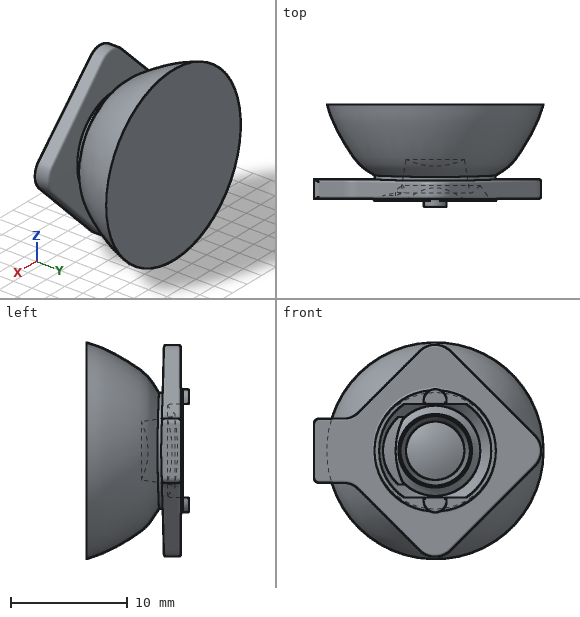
import cadquery as cq
import math


RIM_RADIUS = 9.3
RIM_Y = 8.1
LIP_RADIUS = 3.15
LIP_Y = 0.51
LENS_PROFILE = [(8.59, 6.23), (7.53, 4.33), (6.46, 2.92), (5.2, 2.0)]
CAVITY_MOUTH_RADIUS = 2.97
CAVITY_FLOOR_RADIUS = 2.5
CAVITY_DEPTH = 2.88
DOME_HEIGHT = 0.6

PLATE_THICKNESS = 1.7
PLATE_EDGE_THICKNESS = 1.45
SIDE_DISTANCE = 6.97
CORNER_RADIUS = 1.9
EDGE_FILLET = 0.22
TAB_END_X = -10.4
TAB_HALF_WIDTH = 2.75
TAB_ROOT_RADIUS = 1.73
TAB_CORNER_RADIUS = 0.47

COLLAR_RADIUS_X = 5.18
COLLAR_RADIUS_Z = 4.98
COLLAR_END_Y = 2.05
RING_RADIUS = 5.2
RING_HEIGHT = 0.2

POCKET_RADIUS = 4.8
POCKET_FLOOR_RADIUS = 3.86
POCKET_FLOOR_Y = 1.15
POCKET_HALF_HEIGHT = 4.0

HUMP_TOP_Y = 0.28
HUMP_CROWN_RADIUS = 15.76
HUMP_HALF_LENGTH = 2.88
HUMP_INNER_X = -3.39
HUMP_INNER_RADIUS = 6.3

PIN_RADIUS = 0.98
PIN_HEIGHT = 0.7
PIN_ROUND_Z = 4.3
PIN_FILLET = 0.15


def around_y(profile):
    """Revolve an XY profile a full turn about the Y axis."""
    return profile.close().revolve(360, (0, 0, 0), (0, 1, 0))


def along_y(start_y):
    """XZ sketch plane at start_y whose extrusions run toward +Y (local y is -Z)."""
    return cq.Workplane(cq.Plane((0, start_y, 0), (1, 0, 0), (0, 1, 0)))


def make_lens_body():
    profile = (
        cq.Workplane("XY")
        .moveTo(0, RIM_Y)
        .lineTo(RIM_RADIUS, RIM_Y)
        .spline([*LENS_PROFILE, (LIP_RADIUS, LIP_Y)], includeCurrent=True)
        .lineTo(0, LIP_Y)
    )
    return around_y(profile)


def make_cavity():
    """Tapered recess in the lens tip whose floor is a convex dome."""
    floor_y = LIP_Y + CAVITY_DEPTH
    dome_radius = (CAVITY_FLOOR_RADIUS**2 + DOME_HEIGHT**2) / (2 * DOME_HEIGHT)
    dome_center_y = floor_y - DOME_HEIGHT + dome_radius
    cone = around_y(
        cq.Workplane("XY")
        .moveTo(0, LIP_Y)
        .lineTo(CAVITY_MOUTH_RADIUS, LIP_Y)
        .lineTo(CAVITY_FLOOR_RADIUS, floor_y)
        .lineTo(0, floor_y)
    )
    return cone.cut(cq.Workplane("XY").sphere(dome_radius).translate((0, dome_center_y, 0)))


def make_tab_corner(side):
    """Waste outside the rounded corner of the tab end on one Z side."""
    center_x = TAB_END_X + TAB_CORNER_RADIUS
    center_z = side * (TAB_HALF_WIDTH - TAB_CORNER_RADIUS)
    waste_size = 2 * TAB_CORNER_RADIUS
    waste = (
        along_y(0)
        .center(center_x - waste_size / 2, -center_z - side * waste_size / 2)
        .rect(waste_size, waste_size)
        .extrude(PLATE_THICKNESS)
    )
    post = along_y(0).center(center_x, -center_z).circle(TAB_CORNER_RADIUS).extrude(PLATE_THICKNESS)
    return waste.cut(post)


def make_plate():
    half_diagonal = SIDE_DISTANCE * math.sqrt(2)
    corner_tip = half_diagonal - CORNER_RADIUS * (math.sqrt(2) - 1)
    square = (
        along_y(0)
        .rect(2 * SIDE_DISTANCE, 2 * SIDE_DISTANCE)
        .extrude(PLATE_THICKNESS)
        .edges("|Y")
        .fillet(CORNER_RADIUS)
        .rotate((0, 0, 0), (0, 1, 0), 45)
    )
    tab = (
        along_y(0)
        .center(TAB_END_X / 2, 0)
        .rect(-TAB_END_X, 2 * TAB_HALF_WIDTH)
        .extrude(PLATE_THICKNESS)
    )
    root_x = TAB_HALF_WIDTH - half_diagonal
    margin = EDGE_FILLET
    roots = cq.selectors.BoxSelector(
        (root_x - margin, -margin, -TAB_HALF_WIDTH - margin),
        (root_x + margin, PLATE_THICKNESS + margin, TAB_HALF_WIDTH + margin),
    )
    plate = square.union(tab).edges("|Y").edges(roots).fillet(TAB_ROOT_RADIUS)

    wedge = (
        cq.Workplane("YZ")
        .polyline([
            (0, -corner_tip),
            (PLATE_EDGE_THICKNESS, -corner_tip),
            (PLATE_THICKNESS, 0),
            (PLATE_EDGE_THICKNESS, corner_tip),
            (0, corner_tip),
        ])
        .close()
        .extrude(-2 * TAB_END_X, both=True)
    )
    plate = plate.intersect(wedge)

    faces_outline = plate.faces("<Y or >Y").edges()
    ridge = faces_outline.edges(">Y")
    end_edges = faces_outline.edges("<X")
    rounded = [e for e in faces_outline.vals() if e not in ridge.vals() + end_edges.vals()]
    plate = plate.newObject(rounded).fillet(EDGE_FILLET)
    for side in (1, -1):
        plate = plate.cut(make_tab_corner(side))
    return plate


def make_collar():
    return (
        along_y(PLATE_THICKNESS / 2)
        .ellipse(COLLAR_RADIUS_X, COLLAR_RADIUS_Z)
        .extrude(COLLAR_END_Y - PLATE_THICKNESS / 2)
    )


def make_raised_disc(radius):
    """Disc standing RING_HEIGHT in front of the plate, with a concave round at its foot."""
    foot_radius = radius + RING_HEIGHT
    sag = RING_HEIGHT * math.sqrt(0.5)
    profile = (
        cq.Workplane("XY")
        .moveTo(0, RING_HEIGHT)
        .lineTo(0, -RING_HEIGHT)
        .lineTo(radius, -RING_HEIGHT)
        .threePointArc((foot_radius - sag, -RING_HEIGHT + sag), (foot_radius, 0))
        .lineTo(foot_radius, RING_HEIGHT)
    )
    return around_y(profile)


def make_hump():
    """Crowned block on the tab side, with a bowed face toward the lens."""
    crown = (
        cq.Workplane("YZ")
        .center(HUMP_TOP_Y + HUMP_CROWN_RADIUS, 0)
        .circle(HUMP_CROWN_RADIUS)
        .extrude(-POCKET_RADIUS)
    )
    bow = (
        along_y(HUMP_TOP_Y)
        .center(HUMP_INNER_X + HUMP_INNER_RADIUS, 0)
        .circle(HUMP_INNER_RADIUS)
        .extrude(RIM_Y)
    )
    slab = cq.Workplane("XY").box(2 * RIM_RADIUS, 2 * RIM_RADIUS, 2 * HUMP_HALF_LENGTH)
    return crown.cut(bow).intersect(slab)


def make_pocket():
    cone = around_y(
        cq.Workplane("XY")
        .moveTo(0, -RING_HEIGHT)
        .lineTo(POCKET_RADIUS, -RING_HEIGHT)
        .lineTo(POCKET_FLOOR_RADIUS, POCKET_FLOOR_Y)
        .lineTo(0, POCKET_FLOOR_Y)
    )
    slab = cq.Workplane("XY").box(2 * RIM_RADIUS, 2 * RIM_RADIUS, 2 * POCKET_HALF_HEIGHT)
    return cone.intersect(slab).cut(make_hump())


def make_pin():
    """D-shaped pin on the +Z side with its flat flush with the pocket wall."""
    flat_top = -POCKET_HALF_HEIGHT
    pin = (
        along_y(-PIN_HEIGHT)
        .moveTo(-PIN_RADIUS, flat_top)
        .lineTo(-PIN_RADIUS, -PIN_ROUND_Z)
        .threePointArc((0, -PIN_ROUND_Z - PIN_RADIUS), (PIN_RADIUS, -PIN_ROUND_Z))
        .lineTo(PIN_RADIUS, flat_top)
        .close()
        .extrude(PIN_HEIGHT + RING_HEIGHT)
    )
    return pin.faces("<Y").edges().fillet(PIN_FILLET)


def make_holder():
    holder = make_plate().union(make_collar()).union(make_raised_disc(RING_RADIUS))
    for side in (1, -1):
        pin_foot = make_raised_disc(PIN_RADIUS).translate((0, 0, side * PIN_ROUND_Z))
        holder = holder.union(pin_foot)
    holder = holder.cut(make_pocket())
    pin = make_pin()
    return holder.union(pin).union(pin.mirror("XY"))


result = make_holder().union(make_lens_body()).cut(make_cavity())